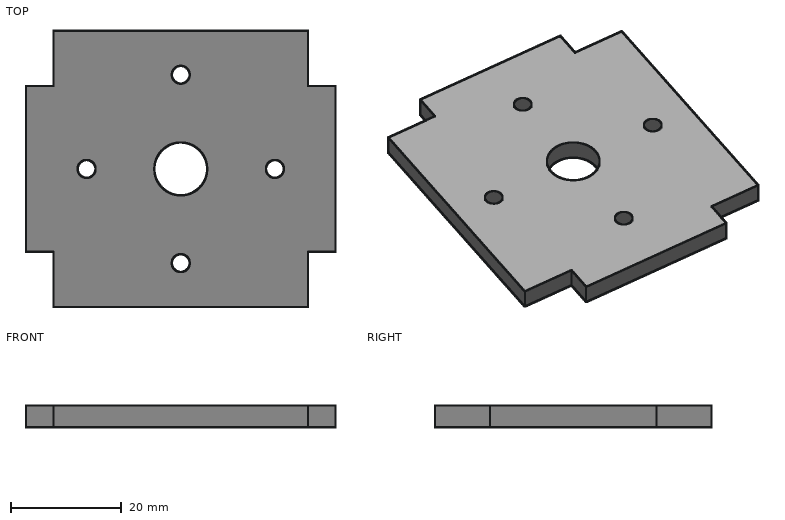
import cadquery as cq

length = 56.0
width = 50.0
thickness = 4.0

tab_reach = 5.0
tab_width = 30.0

bore_diameter = 9.5
screw_hole_diameter = 3.2
screw_circle_radius = 17.0
screw_hole_count = 4

body_length = length - 2 * tab_reach


def centred_plate(size_x, size_y):
    """Flat plate centred on the Z axis with its underside at Z = 0."""
    return cq.Workplane("XY").box(size_x, size_y, thickness, centered=(True, True, False))


plate = centred_plate(body_length, width).union(centred_plate(length, tab_width))

plate = plate.faces(">Z").workplane(origin=(0, 0, thickness)).hole(bore_diameter)

result = (
    plate.faces(">Z")
    .workplane(origin=(0, 0, thickness))
    .polarArray(screw_circle_radius, 0, 360, screw_hole_count)
    .hole(screw_hole_diameter)
)